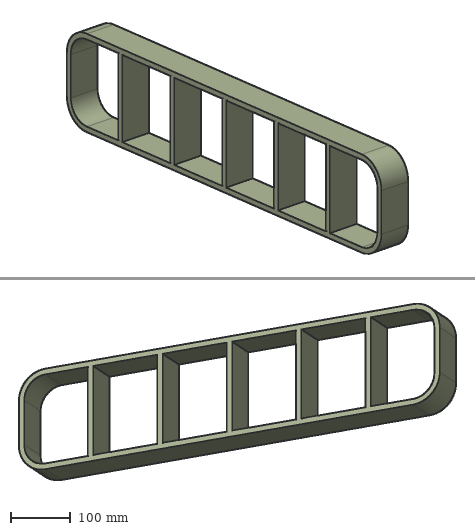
import cadquery as cq

length = 793.0
depth = 60.0
height = 179.0
wall = 10.0
corner_radius = 50.0

divider_count = 5
divider_thickness = 10.0
divider_pitch = 131.0


def rounded_bar(bar_length, bar_height, radius):
    """Rounded rectangle in XZ, extruded along Y and centred on the origin."""
    return cq.Workplane("XY").box(bar_length, depth, bar_height).edges("|Y").fillet(radius)


def make_frame():
    outside = rounded_bar(length, height, corner_radius)
    opening = rounded_bar(length - 2 * wall, height - 2 * wall, corner_radius - wall)
    return outside.cut(opening)


def make_dividers():
    divider_height = height - wall
    return (
        cq.Workplane("XY")
        .rarray(divider_pitch, 8, divider_count, 1)
        .box(divider_thickness, depth, divider_height)
    )


result = make_frame().union(make_dividers())